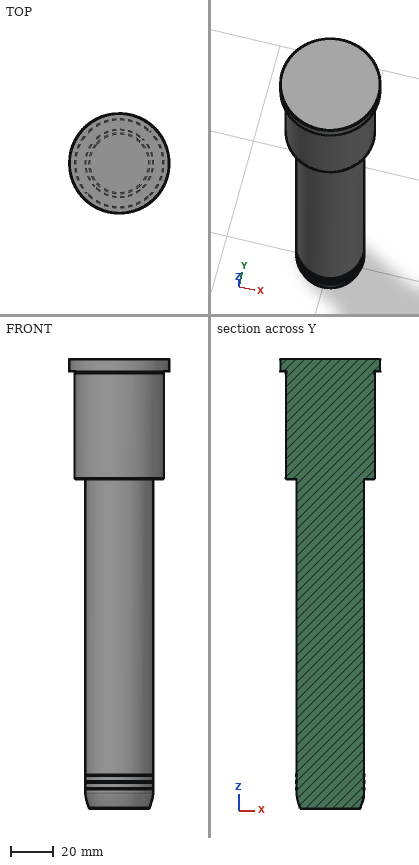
import cadquery as cq

total_length = 211.0
head_radius = 47.0 / 2
head_height = 6.0
head_chamfer = 0.32
collar_radius = 42.0 / 2
collar_end = 154.5
collar_chamfer = 0.6
pin_radius = 16.0

relief_width = 1.0
relief_depth = 0.5

groove_count = 3
first_groove_height = 9.5
groove_pitch = 3.2
groove_width = 0.8
groove_depth = groove_width / 2

tip_height = 7.4
tip_radius = 14.3
tip_bulge = 0.2
tip_chamfer = 0.6

head_bottom = total_length - head_height
relief_bottom = head_bottom - relief_width
relief_radius = collar_radius - relief_depth
groove_radius = pin_radius - groove_depth
bulge_radius = (pin_radius + tip_radius) / 2 + tip_bulge
bulge_height = (tip_height + tip_chamfer) / 2


def add_lead_in(profile):
    """Draw the chamfered tip and its slightly convex side."""
    return (
        profile.lineTo(-(tip_radius - tip_chamfer), 0)
        .lineTo(-tip_radius, tip_chamfer)
        .threePointArc((-bulge_radius, bulge_height), (-pin_radius, tip_height))
    )


def add_oil_grooves(profile):
    """Draw the V-shaped oil grooves up the side of the pin."""
    for index in range(groove_count):
        centre = first_groove_height + index * groove_pitch
        bottom = centre - groove_width / 2
        top = centre + groove_width / 2
        profile = (
            profile.lineTo(-pin_radius, bottom)
            .lineTo(-groove_radius, centre)
            .lineTo(-pin_radius, top)
        )
    return profile


def add_collar(profile):
    """Draw the pin's upper end, the chamfered collar and its relief groove."""
    return (
        profile.lineTo(-pin_radius, collar_end)
        .lineTo(-(collar_radius - collar_chamfer), collar_end)
        .lineTo(-collar_radius, collar_end + collar_chamfer)
        .lineTo(-collar_radius, relief_bottom)
        .lineTo(-relief_radius, relief_bottom)
        .lineTo(-relief_radius, head_bottom)
    )


def add_head(profile):
    """Draw the flat head with its broken top edge."""
    return (
        profile.lineTo(-head_radius, head_bottom)
        .lineTo(-head_radius, total_length - head_chamfer)
        .lineTo(-(head_radius - head_chamfer), total_length)
        .lineTo(0, total_length)
    )


half_section = cq.Workplane("XZ").moveTo(0, 0)
half_section = add_lead_in(half_section)
half_section = add_oil_grooves(half_section)
half_section = add_collar(half_section)
half_section = add_head(half_section)

result = half_section.close().revolve(360, (0, 0, 0), (0, 1, 0))